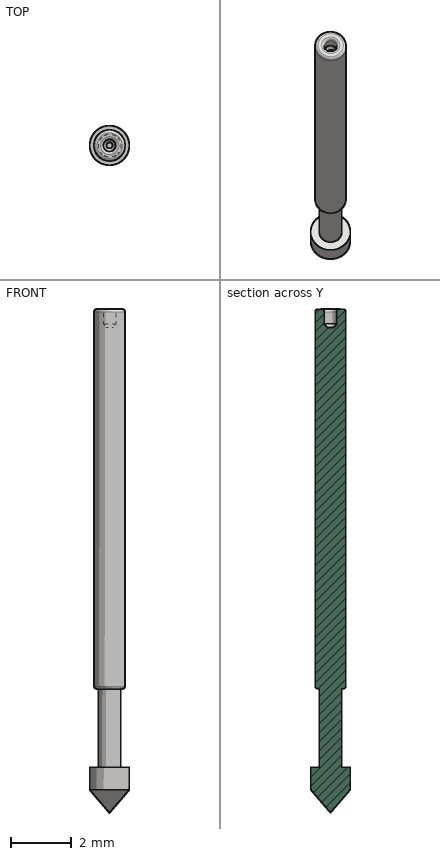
import cadquery as cq

total_length = 16.54

head_radius = 1.3 / 2
cone_height = 0.76
head_top = 1.5

stem_radius = 0.75 / 2
barrel_radius = 1.03 / 2
barrel_bottom = 4.07
edge_round = 0.1

hole_radius = 0.4 / 2
hole_lip_round = 0.1
hole_depth = 0.5
floor_flat_radius = 0.1
floor_cone_depth = 0.12


def make_plunger():
    """Stem with a pointed head, revolved about Z; the stem ends at the barrel."""
    return (
        cq.Workplane("XZ")
        .moveTo(0, 0)
        .lineTo(head_radius, cone_height)
        .lineTo(head_radius, head_top)
        .lineTo(stem_radius, head_top)
        .lineTo(stem_radius, barrel_bottom)
        .lineTo(0, barrel_bottom)
        .close()
        .revolve(360, (0, 0, 0), (0, 1, 0))
    )


def make_barrel():
    """Cylinder with both outer end edges rounded."""
    return (
        cq.Workplane("XY", origin=(0, 0, barrel_bottom))
        .circle(barrel_radius)
        .extrude(total_length - barrel_bottom)
        .edges("%CIRCLE")
        .fillet(edge_round)
    )


def make_end_hole():
    """Cutter for the end hole, including its flared, rounded lip."""
    lip_bottom = total_length - hole_lip_round
    floor_edge = total_length - hole_depth
    return (
        cq.Workplane("XZ")
        .moveTo(0, total_length)
        .lineTo(hole_radius + hole_lip_round, total_length)
        .radiusArc((hole_radius, lip_bottom), -hole_lip_round)
        .lineTo(hole_radius, floor_edge)
        .lineTo(floor_flat_radius, floor_edge - floor_cone_depth)
        .lineTo(0, floor_edge - floor_cone_depth)
        .close()
        .revolve(360, (0, 0, 0), (0, 1, 0))
    )


result = make_plunger().union(make_barrel()).cut(make_end_hole())